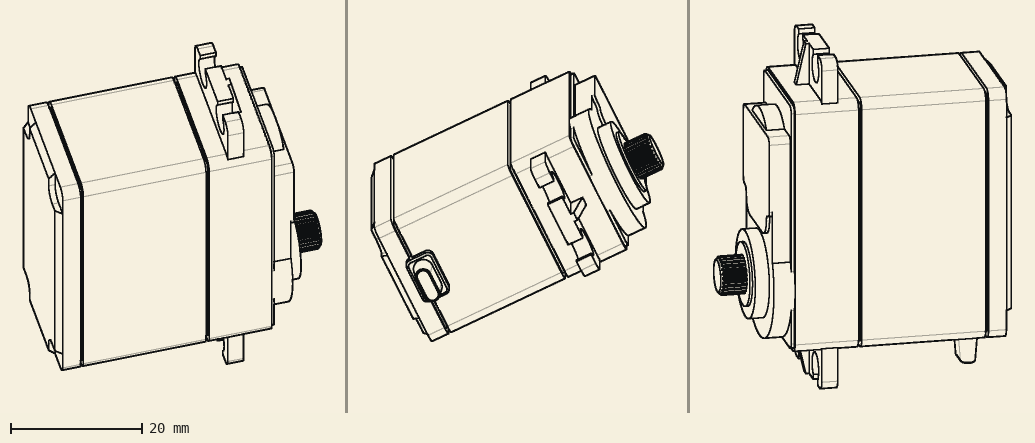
import cadquery as cq
import math


CASE_WIDTH = 20.0
CASE_HEIGHT = 40.0
CASE_CORNER = 1.5
COVER_TOP = 3.8
MOTOR_BOTTOM = 4.25
MOTOR_TOP = 23.6
GEARBOX_BOTTOM = 24.1
GEARBOX_TOP = 34.0
SEAM_INSET = 0.9

BACK_CHAMFER = 1.0
RECESS_SIZE = 4.5
RECESS_CORNER = 2.0
RECESS_DEPTH = 1.0

LIP_INSET = 0.5
LIP_TOP = 34.5

SHAFT_Z = -10.0
HOUSING_RADIUS = CASE_WIDTH / 2
HOUSING_TOP = 37.3
PLATE_WIDTH = 17.9
PLATE_TOP = 37.8
PLATE_UPPER_Z = 14.5
PLATE_LOWER_Z = 2.7
PLATE_CORNER = 1.0
TONGUE_TIP_Z = -2.1
TONGUE_CORNER = PLATE_LOWER_Z - TONGUE_TIP_Z - 2 * PLATE_CORNER
BUMP_RADIUS = 6.9
BUMP_UPPER_Z = 16.55

BOSS_RADIUS = 6.85
BOSS_TOP = 39.5
COLLAR_RADIUS = 4.95
COLLAR_TOP = 39.9
SHAFT_RADIUS = 3.0
SHAFT_ROOT_RADIUS = 2.75
SHAFT_TOP = 43.9
SHAFT_CHAMFER = 0.5
SPLINE_TEETH = 25

EAR_WIDTH = 18.9
EAR_SPAN = 53.0
EAR_BOTTOM = 27.2
EAR_THICKNESS = 2.5
EAR_TOP = EAR_BOTTOM + EAR_THICKNESS
EAR_CORNER = 1.5
HOLE_X = 5.0
HOLE_Z = 24.0
HOLE_RADIUS = 2.25
SLOT_WIDTH = 2.9

RIB_WIDTH = 1.3
RIB_BASE_HEIGHT = 2.0
RIB_TIP_HEIGHT = 0.5

RELIEF_Y = 5.15
RELIEF_WIDTH = 7.2
RELIEF_DEPTH = 4.5
RELIEF_CORNER = 0.95
RELIEF_HEIGHT = 1.6
RELIEF_CHAMFER = 0.35
STEM_WIDTH = 6.1
STEM_DEPTH = 3.0
STEM_TIP_Z = -26.1
STEM_TAPER = 4.5
STEM_TIP_CHAMFER = 0.2


def plane_at(y):
    """XZ workplane at a given Y, with its local axes along X and Z."""
    return cq.Workplane("XZ", origin=(0, y, 0))


def block(width, height, corner, y_start, y_end):
    """Rounded rectangular block centred on the case axis."""
    body = plane_at(y_start).rect(width, height).extrude(y_start - y_end)
    return body.edges("|Y").fillet(corner)


def inset_block(inset, y_start, y_end):
    """Block following the case outline, set in by a given distance."""
    corner = CASE_CORNER - inset
    return block(CASE_WIDTH - 2 * inset, CASE_HEIGHT - 2 * inset, corner, y_start, y_end)


def shaft_cylinder(radius, y_start, y_end):
    """Cylinder on the output shaft axis."""
    return plane_at(y_start).center(0, SHAFT_Z).circle(radius).extrude(y_start - y_end)


def make_back_cover():
    cover = inset_block(0, 0, COVER_TOP).faces("<Y").chamfer(BACK_CHAMFER)
    recess_centres = [
        (x * CASE_WIDTH / 2, z * CASE_HEIGHT / 2) for x in (-1, 1) for z in (-1, 1)
    ]
    recesses = (
        plane_at(0)
        .pushPoints(recess_centres)
        .rect(2 * RECESS_SIZE, 2 * RECESS_SIZE)
        .extrude(-RECESS_DEPTH)
        .edges("|Y")
        .fillet(RECESS_CORNER)
    )
    return cover.cut(recesses)


def make_case():
    case = make_back_cover()
    case = case.union(inset_block(SEAM_INSET, COVER_TOP, MOTOR_BOTTOM))
    case = case.union(inset_block(0, MOTOR_BOTTOM, MOTOR_TOP))
    case = case.union(inset_block(SEAM_INSET, MOTOR_TOP, GEARBOX_BOTTOM))
    case = case.union(inset_block(0, GEARBOX_BOTTOM, GEARBOX_TOP))
    return case.union(inset_block(LIP_INSET, GEARBOX_TOP, LIP_TOP))


def make_plate():
    """Raised plate that steps in to a round-cornered tongue beside the boss."""
    bend = PLATE_CORNER * math.sqrt(0.5)
    tongue_bend = TONGUE_CORNER * math.sqrt(0.5)
    edge_x = PLATE_WIDTH / 2
    step_x = edge_x - PLATE_CORNER
    tongue_x = step_x - PLATE_CORNER
    tip_x = tongue_x - TONGUE_CORNER
    shoulder_z = PLATE_LOWER_Z - PLATE_CORNER
    tongue_z = shoulder_z - PLATE_CORNER
    upper_arc_z = PLATE_UPPER_Z - PLATE_CORNER
    half = (
        plane_at(GEARBOX_TOP)
        .moveTo(0, PLATE_UPPER_Z)
        .lineTo(step_x, PLATE_UPPER_Z)
        .threePointArc((step_x + bend, upper_arc_z + bend), (edge_x, upper_arc_z))
        .lineTo(edge_x, PLATE_LOWER_Z)
        .threePointArc((step_x + bend, PLATE_LOWER_Z - bend), (step_x, shoulder_z))
        .threePointArc((step_x - bend, tongue_z + bend), (tongue_x, tongue_z))
        .threePointArc((tip_x + tongue_bend, tongue_z - tongue_bend), (tip_x, TONGUE_TIP_Z))
        .lineTo(0, TONGUE_TIP_Z)
        .close()
        .extrude(GEARBOX_TOP - PLATE_TOP)
    )
    return half.union(half.mirror("YZ"))


def make_housing():
    base_height = PLATE_UPPER_Z - PLATE_CORNER - SHAFT_Z
    base = (
        plane_at(GEARBOX_TOP)
        .center(0, SHAFT_Z + base_height / 2)
        .rect(PLATE_WIDTH, base_height)
        .extrude(GEARBOX_TOP - HOUSING_TOP)
    )
    bump = (
        plane_at(GEARBOX_TOP)
        .center(0, BUMP_UPPER_Z - BUMP_RADIUS)
        .circle(BUMP_RADIUS)
        .extrude(GEARBOX_TOP - HOUSING_TOP)
    )
    housing = shaft_cylinder(HOUSING_RADIUS, GEARBOX_TOP, HOUSING_TOP)
    return housing.union(base).union(bump).union(make_plate())


def make_spline_shaft():
    """Shaft with flat-topped teeth, bevelled at its free end."""
    tooth_radii = (SHAFT_RADIUS, SHAFT_RADIUS, SHAFT_ROOT_RADIUS, SHAFT_ROOT_RADIUS)
    point_count = SPLINE_TEETH * len(tooth_radii)
    points = []
    for i in range(point_count):
        radius = tooth_radii[i % len(tooth_radii)]
        angle = math.pi / 2 + 2 * math.pi * i / point_count
        points.append((radius * math.cos(angle), SHAFT_Z + radius * math.sin(angle)))
    teeth = plane_at(BOSS_TOP).polyline(points).close().extrude(BOSS_TOP - SHAFT_TOP)
    envelope = shaft_cylinder(SHAFT_RADIUS, BOSS_TOP, SHAFT_TOP).faces(">Y").chamfer(SHAFT_CHAMFER)
    return teeth.intersect(envelope)


def make_output():
    boss = shaft_cylinder(BOSS_RADIUS, GEARBOX_TOP, BOSS_TOP)
    collar = shaft_cylinder(COLLAR_RADIUS, BOSS_TOP, COLLAR_TOP)
    return boss.union(collar).union(make_spline_shaft())


def make_ears():
    """Both ears as one plate through the case, with holes open to the ends."""
    ears = block(EAR_WIDTH, EAR_SPAN, EAR_CORNER, EAR_BOTTOM, EAR_TOP)
    holes = [(x * HOLE_X, z * HOLE_Z) for x in (-1, 1) for z in (-1, 1)]
    slot_length = EAR_SPAN / 2 - HOLE_Z
    slots = [(x, z + math.copysign(slot_length / 2, z)) for x, z in holes]
    ears = ears.cut(plane_at(EAR_BOTTOM).pushPoints(holes).circle(HOLE_RADIUS).extrude(-EAR_THICKNESS))
    return ears.cut(
        plane_at(EAR_BOTTOM).pushPoints(slots).rect(SLOT_WIDTH, slot_length).extrude(-EAR_THICKNESS)
    )


def make_ribs():
    case_z = CASE_HEIGHT / 2
    end_z = EAR_SPAN / 2
    rib = (
        cq.Workplane("YZ")
        .moveTo(EAR_BOTTOM, case_z - CASE_CORNER)
        .lineTo(EAR_TOP + RIB_BASE_HEIGHT, case_z - CASE_CORNER)
        .lineTo(EAR_TOP + RIB_BASE_HEIGHT, case_z)
        .lineTo(EAR_TOP + RIB_TIP_HEIGHT, end_z)
        .lineTo(EAR_BOTTOM, end_z)
        .close()
        .extrude(RIB_WIDTH / 2, both=True)
    )
    return rib.union(rib.mirror("XY"))


def make_strain_relief():
    case_end = -CASE_HEIGHT / 2
    root_z = case_end + SEAM_INSET
    pad_z = case_end - RELIEF_HEIGHT
    pad = (
        cq.Workplane("XY", origin=(0, RELIEF_Y, pad_z))
        .rect(RELIEF_WIDTH, RELIEF_DEPTH)
        .extrude(root_z - pad_z)
        .edges("|Z")
        .fillet(RELIEF_CORNER)
        .faces("<Z")
        .chamfer(RELIEF_CHAMFER)
    )
    stem = (
        cq.Workplane("XY", origin=(0, RELIEF_Y, pad_z))
        .slot2D(STEM_WIDTH, STEM_DEPTH)
        .extrude(STEM_TIP_Z - pad_z, taper=STEM_TAPER)
        .faces("<Z")
        .chamfer(STEM_TIP_CHAMFER)
    )
    return pad.union(stem)


result = make_case()
for feature in (make_housing(), make_output(), make_ears(), make_ribs(), make_strain_relief()):
    result = result.union(feature)